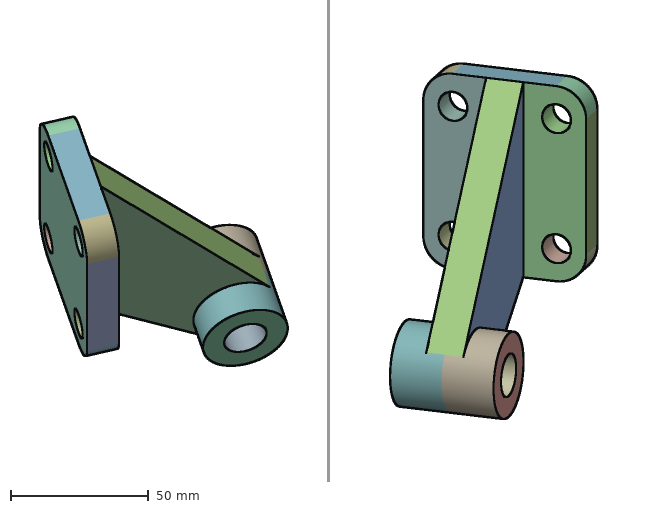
import cadquery as cq
import math

plate_width = 63.0
plate_height = 75.0
plate_thickness = 12.0
corner_radius = 11.5
bolt_diameter = 11.0
bolt_spacing_x = 40.0
bolt_spacing_z = 50.0

hub_diameter = 32.0
bore_diameter = 16.0
hub_length = 40.0

web_thickness = 14.4
overall_depth = 79.0
overall_height = 110.5

hub_radius = hub_diameter / 2
hub_y = overall_depth - hub_radius
hub_z = hub_radius
plate_bottom = overall_height - plate_height
plate_center_z = overall_height - plate_height / 2


def tangent_point(y, z, side):
    """Point where a line from (y, z) touches the hub; side is +1 or -1."""
    dy = y - hub_y
    dz = z - hub_z
    angle = math.atan2(dz, dy) + side * math.acos(hub_radius / math.hypot(dy, dz))
    return hub_y + hub_radius * math.cos(angle), hub_z + hub_radius * math.sin(angle)


def make_plate():
    """Rounded rectangular plate with four bolt holes."""
    return (
        cq.Workplane("XZ", origin=(0, 0, plate_center_z))
        .rect(plate_width, plate_height)
        .extrude(-plate_thickness)
        .edges("|Y").fillet(corner_radius)
        .faces("<Y").workplane(centerOption="CenterOfBoundBox")
        .rect(bolt_spacing_x, bolt_spacing_z, forConstruction=True)
        .vertices().hole(bolt_diameter)
    )


def make_web():
    """Central web running from the plate's back edges tangent to the hub."""
    outline = [
        (plate_thickness, plate_bottom),
        (plate_thickness, overall_height),
        tangent_point(plate_thickness, overall_height, -1),
        (hub_y, hub_z),
        tangent_point(plate_thickness, plate_bottom, 1),
    ]
    return cq.Workplane("YZ").polyline(outline).close().extrude(web_thickness / 2, both=True)


def hub_cylinder(diameter):
    """Cylinder on the hub axis, as long as the hub."""
    return cq.Workplane("YZ").center(hub_y, hub_z).circle(diameter / 2).extrude(hub_length / 2, both=True)


result = make_plate().union(make_web()).union(hub_cylinder(hub_diameter)).cut(hub_cylinder(bore_diameter))